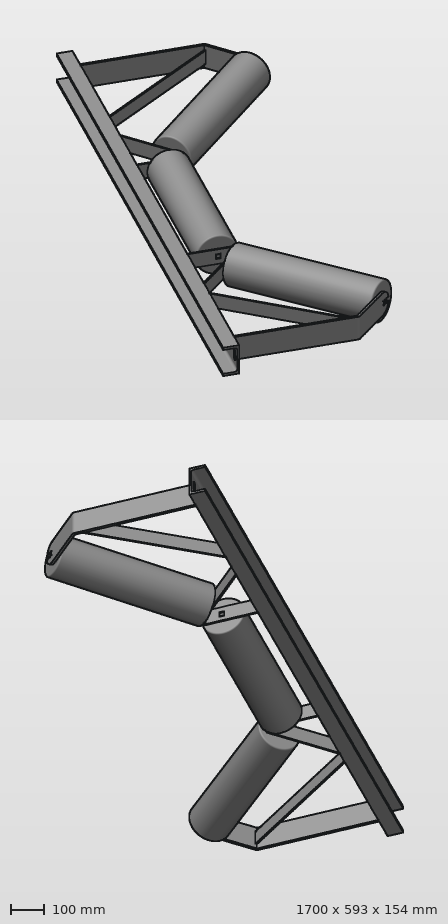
import cadquery as cq
import math

BASE_LENGTH = 1700.0
BASE_DEPTH = 50.0
BASE_HEIGHT = 100.0
WEB_THICKNESS = 5.0
FLANGE_THICKNESS = 8.0
ROOT_RADIUS = 8.0
MOUNT_SLOT_WIDTH = 15.0
MOUNT_SLOT_LENGTH = 35.0
MOUNT_SLOT_INSET = 29.0

ROLLER_DIAMETER = 135.0
ROLLER_LENGTH = 500.0
ROLLER_EDGE_RADIUS = 5.0
SHAFT_SIZE = 15.0
CENTRE_ROLLER_Y = 165.0
TROUGH_ANGLE = 45.0
TILT_ANGLE = 2.2
WING_INNER_X = -313.0
WING_INNER_Y = 194.0

INNER_GAP = 5.0
OUTER_GAP = 3.0
INNER_THICKNESS = 5.0
INNER_WIDTH = 51.0
INNER_TOP_Y = 221.0
OUTER_THICKNESS = 8.0
OUTER_WIDTH = 80.0
OUTER_FACE_X = -789.0
OUTER_OVERHANG = 24.0
OUTER_BEND_RADIUS = 14.0
SHAFT_RECESS = 3.0
BRACE_THICKNESS = 5.0
BRACE_WIDTH = 48.0
BRACE_FOOT_X = -505.0

TILT_RISE = ROLLER_LENGTH * math.sin(math.radians(TILT_ANGLE))
WING_PLAN_LENGTH = ROLLER_LENGTH * math.cos(math.radians(TILT_ANGLE))
ROLLER_Z = -TILT_RISE
ROOT_TWO = math.sqrt(2)
BEND_SETBACK = math.tan(math.radians(TROUGH_ANGLE / 2))
INNER_REACH = INNER_GAP + INNER_THICKNESS
OUTER_REACH = OUTER_GAP + OUTER_THICKNESS


def plate(outline, width, mid_z):
    """Extrude an XY outline along Z, centred on mid_z."""
    return cq.Workplane("XY", origin=(0, 0, mid_z - width / 2)).polyline(outline).close().extrude(width)


def square_bar(start, end):
    """Square bar along local X."""
    return cq.Workplane("YZ", origin=(start, 0, 0)).rect(SHAFT_SIZE, SHAFT_SIZE).extrude(end - start)


def place_wing(body):
    """Move a body from the local X axis onto the left wing roller's axis."""
    tilted = body.rotate((0, 0, 0), (0, 1, 0), -TILT_ANGLE)
    turned = tilted.rotate((0, 0, 0), (0, 0, 1), 180 - TROUGH_ANGLE)
    return turned.translate((WING_INNER_X, WING_INNER_Y, ROLLER_Z))


def place_centre(body):
    return body.translate((-ROLLER_LENGTH / 2, CENTRE_ROLLER_Y, ROLLER_Z))


def make_base():
    half_height = BASE_HEIGHT / 2
    inner_half = half_height - FLANGE_THICKNESS
    web_face = BASE_DEPTH - WEB_THICKNESS
    profile = [
        (0, half_height), (BASE_DEPTH, half_height), (BASE_DEPTH, -half_height), (0, -half_height),
        (0, -inner_half), (web_face, -inner_half), (web_face, inner_half), (0, inner_half),
    ]
    channel = cq.Workplane("YZ", origin=(-BASE_LENGTH / 2, 0, 0)).polyline(profile).close().extrude(BASE_LENGTH)
    roots = cq.selectors.BoxSelector(
        (-BASE_LENGTH, web_face - WEB_THICKNESS / 2, -inner_half - FLANGE_THICKNESS / 2),
        (BASE_LENGTH, web_face + WEB_THICKNESS / 2, inner_half + FLANGE_THICKNESS / 2),
    )
    channel = channel.edges("|X").edges(roots).fillet(ROOT_RADIUS)
    slot_x = BASE_LENGTH / 2 - MOUNT_SLOT_INSET
    slots = (
        cq.Workplane("XZ", origin=(0, BASE_DEPTH, 0))
        .pushPoints([(-slot_x, 0), (slot_x, 0)])
        .slot2D(MOUNT_SLOT_LENGTH, MOUNT_SLOT_WIDTH, 90)
        .extrude(BASE_DEPTH)
    )
    return channel.cut(slots)


def make_roller(start_reach, end_reach):
    """Roller along local X from the origin; the shaft reaches past each end."""
    drum = cq.Workplane("YZ").circle(ROLLER_DIAMETER / 2).extrude(ROLLER_LENGTH)
    drum = drum.edges().fillet(ROLLER_EDGE_RADIUS)
    return drum.union(square_bar(-start_reach, ROLLER_LENGTH + end_reach))


def make_inner_bracket():
    """Strip with an upright for the centre roller and a sloping leg for the wing roller."""
    near_x = -ROLLER_LENGTH / 2 - INNER_GAP
    slope = WING_INNER_Y - WING_INNER_X - INNER_GAP * ROOT_TWO
    under_slope = slope - INNER_THICKNESS * ROOT_TWO
    under_y = INNER_TOP_Y - INNER_THICKNESS
    outline = [
        (near_x, BASE_DEPTH), (near_x, INNER_TOP_Y), (INNER_TOP_Y - slope, INNER_TOP_Y),
        (BASE_DEPTH - slope, BASE_DEPTH), (BASE_DEPTH - under_slope, BASE_DEPTH),
        (under_y - under_slope, under_y), (near_x - INNER_THICKNESS, under_y),
        (near_x - INNER_THICKNESS, BASE_DEPTH),
    ]
    bracket = plate(outline, INNER_WIDTH, ROLLER_Z)
    bracket = bracket.cut(place_centre(square_bar(-2 * INNER_REACH, 0)))
    return bracket.cut(place_wing(square_bar(-2 * INNER_REACH, 0)))


OUTER_SLOPE = WING_INNER_Y - WING_INNER_X + (WING_PLAN_LENGTH + OUTER_REACH) * ROOT_TWO
KNEE_Y = OUTER_SLOPE + OUTER_FACE_X
INNER_KNEE_X = OUTER_FACE_X + OUTER_THICKNESS
INNER_KNEE_Y = KNEE_Y - OUTER_THICKNESS * BEND_SETBACK


def make_outer_bracket():
    """Upright with a 45 degree arm, round at the tip and slotted for the shaft."""
    shaft_x = (WING_INNER_X + WING_INNER_Y - OUTER_SLOPE) / 2
    tip_x = shaft_x + (OUTER_OVERHANG - OUTER_WIDTH / 2) / ROOT_TWO
    tip_y = tip_x + OUTER_SLOPE
    across = OUTER_THICKNESS / ROOT_TWO
    outline = [
        (OUTER_FACE_X, BASE_DEPTH), (OUTER_FACE_X, KNEE_Y), (tip_x, tip_y), (tip_x + across, tip_y - across),
        (INNER_KNEE_X, INNER_KNEE_Y), (INNER_KNEE_X, BASE_DEPTH),
    ]
    tip_plane = cq.Plane(origin=(tip_x, tip_y, 0), xDir=(0, 0, 1), normal=(1, -1, 0))
    tip = cq.Workplane(tip_plane).circle(OUTER_WIDTH / 2).extrude(OUTER_THICKNESS)
    slot = (
        cq.Workplane("XY", origin=(ROLLER_LENGTH, SHAFT_SIZE / 2 - OUTER_WIDTH / 2, 0))
        .box(2 * OUTER_REACH, OUTER_WIDTH, SHAFT_SIZE, centered=(False, True, True))
    )
    strip = plate(outline, OUTER_WIDTH, 0)
    knee = cq.selectors.NearestToPointSelector((OUTER_FACE_X, KNEE_Y, 0))
    strip = strip.edges("|Z").edges(knee).fillet(OUTER_BEND_RADIUS)
    return strip.union(tip).cut(place_wing(slot))


def make_brace():
    """Flat strut from the inside of the knee down to the channel web."""
    angle = math.atan2(INNER_KNEE_Y - BASE_DEPTH, BRACE_FOOT_X - INNER_KNEE_X)
    foot_width = BRACE_THICKNESS / math.sin(angle)
    head = BRACE_THICKNESS / math.sin(angle + math.radians(TROUGH_ANGLE)) / ROOT_TWO
    outline = [
        (INNER_KNEE_X, INNER_KNEE_Y), (BRACE_FOOT_X, BASE_DEPTH), (BRACE_FOOT_X + foot_width, BASE_DEPTH),
        (INNER_KNEE_X + head, INNER_KNEE_Y + head),
    ]
    return plate(outline, BRACE_WIDTH, 0)


base = make_base()
centre_roller = place_centre(make_roller(INNER_REACH - SHAFT_RECESS, INNER_REACH - SHAFT_RECESS))
left_parts = [
    place_wing(make_roller(INNER_REACH - SHAFT_RECESS, OUTER_REACH - SHAFT_RECESS)),
    make_inner_bracket(),
    make_outer_bracket(),
    make_brace(),
]

bodies = [base.solids().val(), centre_roller.solids().val()]
for part in left_parts:
    bodies.append(part.solids().val())
    bodies.append(part.mirror("YZ").solids().val())

result = cq.Compound.makeCompound(bodies)